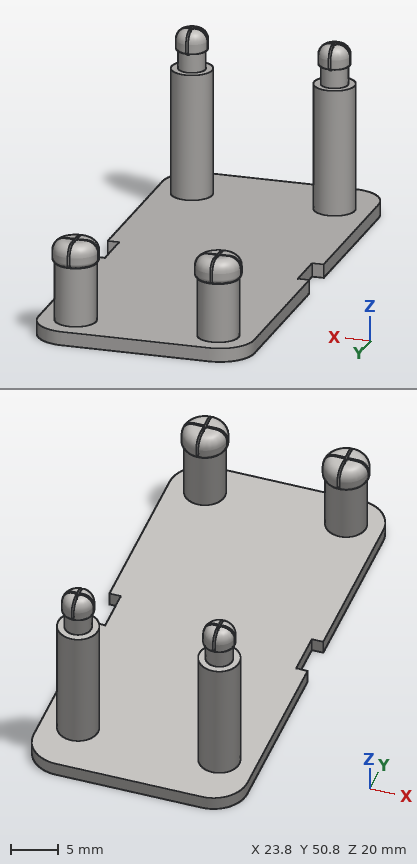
import cadquery as cq

PLATE_LENGTH = 50.8
PLATE_WIDTH = 23.75
PLATE_THICKNESS = 1.5
CORNER_RADIUS = 3.75
NOTCH_LENGTH = 5.0
NOTCH_DEPTH = 1.25

POST_SPACING = 15.7
SHORT_POST_EDGE_DISTANCE = 4.0
LONG_POST_EDGE_DISTANCE = 6.35

POST_DIAMETER = 4.45
SLOT_WIDTH = 0.25

SHORT_POST_HEIGHT = 10.5
SHORT_HEAD_DIAMETER = 5.0
SHORT_HEAD_HEIGHT = 2.5
SHORT_HEAD_TOP_RADIUS = 1.25
SHORT_HEAD_BOTTOM_RADIUS = 0.5
SHORT_SLOT_DEPTH = 2.5

LONG_POST_HEIGHT = 19.95
SHOULDER_HEIGHT = 15.5
NECK_DIAMETER = 2.95
LONG_HEAD_DIAMETER = 3.45
LONG_HEAD_HEIGHT = 2.4
LONG_HEAD_TOP_RADIUS = 1.25
LONG_HEAD_BOTTOM_RADIUS = 0.25
LONG_SLOT_DEPTH = 2.5


def cylinder(diameter, bottom, top):
    return cq.Workplane("XY", origin=(0, 0, bottom)).circle(diameter / 2).extrude(top - bottom)


def snap_head(diameter, height, top, top_radius, bottom_radius):
    """Round head with a domed upper rim and a smaller rounding on its lower rim."""
    head = cylinder(diameter, top - height, top)
    return head.faces(">Z").edges().fillet(top_radius).faces("<Z").edges().fillet(bottom_radius)


def cross_slot(diameter, top, depth):
    """Two crossed cuts that split a head into four prongs."""
    along_x = cq.Workplane("XY", origin=(0, 0, top - depth)).rect(diameter, SLOT_WIDTH).extrude(depth)
    along_y = cq.Workplane("XY", origin=(0, 0, top - depth)).rect(SLOT_WIDTH, diameter).extrude(depth)
    return along_x.union(along_y)


def base_plate():
    plate = cq.Workplane("XY").rect(PLATE_WIDTH, PLATE_LENGTH).extrude(PLATE_THICKNESS)
    plate = plate.edges("|Z").fillet(CORNER_RADIUS)
    notches = (
        cq.Workplane("XY")
        .pushPoints([(-PLATE_WIDTH / 2, 0), (PLATE_WIDTH / 2, 0)])
        .rect(2 * NOTCH_DEPTH, NOTCH_LENGTH)
        .extrude(PLATE_THICKNESS)
    )
    return plate.cut(notches)


def short_post():
    shaft = cylinder(POST_DIAMETER, 0, SHORT_POST_HEIGHT - SHORT_HEAD_HEIGHT)
    head = snap_head(
        SHORT_HEAD_DIAMETER,
        SHORT_HEAD_HEIGHT,
        SHORT_POST_HEIGHT,
        SHORT_HEAD_TOP_RADIUS,
        SHORT_HEAD_BOTTOM_RADIUS,
    )
    slot = cross_slot(SHORT_HEAD_DIAMETER, SHORT_POST_HEIGHT, SHORT_SLOT_DEPTH)
    return shaft.union(head).cut(slot)


def long_post():
    shaft = cylinder(POST_DIAMETER, 0, SHOULDER_HEIGHT)
    neck = cylinder(NECK_DIAMETER, SHOULDER_HEIGHT, LONG_POST_HEIGHT - LONG_HEAD_HEIGHT)
    head = snap_head(
        LONG_HEAD_DIAMETER,
        LONG_HEAD_HEIGHT,
        LONG_POST_HEIGHT,
        LONG_HEAD_TOP_RADIUS,
        LONG_HEAD_BOTTOM_RADIUS,
    )
    slot = cross_slot(LONG_HEAD_DIAMETER, LONG_POST_HEIGHT, LONG_SLOT_DEPTH)
    return shaft.union(neck).union(head).cut(slot)


short_post_y = PLATE_LENGTH / 2 - SHORT_POST_EDGE_DISTANCE
long_post_y = LONG_POST_EDGE_DISTANCE - PLATE_LENGTH / 2

result = base_plate()
for x in (-POST_SPACING / 2, POST_SPACING / 2):
    result = result.union(short_post().translate((x, short_post_y, 0)))
    result = result.union(long_post().translate((x, long_post_y, 0)))